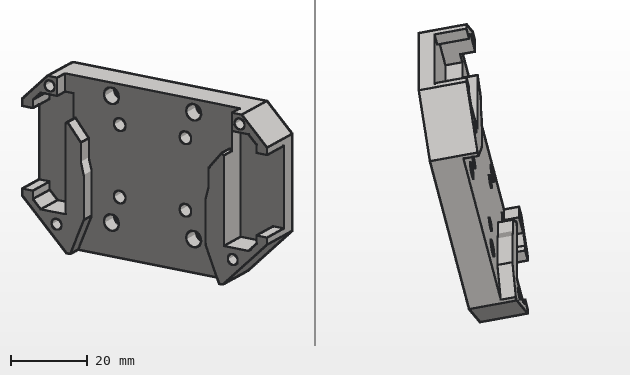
import cadquery as cq

WIDTH = 74.51
DEPTH = 12.74
HEIGHT = 48.0
HALF_WIDTH = WIDTH / 2
HALF_HEIGHT = HEIGHT / 2
FRONT_Y = -DEPTH / 2

TOP_CUT = 7.7
BOTTOM_CUT = 13.5

PATTERN_Z = 2.85

RECESS_DEPTH = 4.0
TOP_PAD_X = 26.6

GUIDE_TIP_X = 23.5
GUIDE_TIP_Z = 12.35
GUIDE_UPPER_X = 19.4
GUIDE_UPPER_TOP_Z = 7.4
GUIDE_UPPER_BOTTOM_Z = 2.0
GUIDE_LOWER_X = 18.5
GUIDE_LOWER_TOP_Z = -1.5
GUIDE_LOWER_BOTTOM_Z = -13.8
GUIDE_FOOT_X = 22.65

POCKET_DEPTH = 8.5
POCKET_INNER_X = 24.1
POCKET_LIP_X = 34.0
POCKET_HALF_HEIGHT = 16.1
POCKET_OPENING_HALF_HEIGHT = 11.4
POCKET_CHAMFER = 2.4

CORNER_HOLE_DIAMETER = 3.0
TOP_CORNER_HOLE = (28.9, 21.3)
BOTTOM_CORNER_HOLE = (26.8, -16.5)

MOUNT_HOLE_DIAMETER = 3.5
MOUNT_HOLE_SPACING = 20.0

BLIND_HOLE_DIAMETER = 4.5
BLIND_HOLE_DEPTH = 5.0
BLIND_HOLE_SPACING_X = 25.0
BLIND_HOLE_SPACING_Z = 35.0


def prism(points, depth):
    """Extrude an XZ outline from the front face back to the given depth."""
    front = cq.Workplane("XZ", origin=(0, FRONT_Y, 0))
    return front.polyline(points).close().extrude(-depth)


def mirrored(points):
    """Return the outline points reflected to the other side, in reverse order."""
    return [(-x, z) for x, z in reversed(points)]


def drill(centres, diameter, start_depth, length):
    """Return cylinders along Y that start at a depth below the front face."""
    plane = cq.Workplane("XZ", origin=(0, FRONT_Y + start_depth, 0))
    return plane.pushPoints(centres).circle(diameter / 2).extrude(-length)


def pattern(spacing_x, spacing_z):
    """Return four centres of a rectangular pattern about the pattern centre line."""
    return [
        (side * spacing_x / 2, PATTERN_Z + level * spacing_z / 2)
        for side in (-1, 1)
        for level in (-1, 1)
    ]


def make_plate():
    right_half = [
        (HALF_WIDTH - BOTTOM_CUT, -HALF_HEIGHT),
        (HALF_WIDTH, -HALF_HEIGHT + BOTTOM_CUT),
        (HALF_WIDTH, HALF_HEIGHT - TOP_CUT),
        (HALF_WIDTH - TOP_CUT, HALF_HEIGHT),
    ]
    return prism(right_half + mirrored(right_half), DEPTH)


def make_recess():
    pocket_top_z = PATTERN_Z + POCKET_HALF_HEIGHT
    tip_run = POCKET_INNER_X - GUIDE_TIP_X
    right_half = [
        (GUIDE_FOOT_X, -HALF_HEIGHT),
        (GUIDE_LOWER_X, GUIDE_LOWER_BOTTOM_Z),
        (GUIDE_LOWER_X, GUIDE_LOWER_TOP_Z),
        (GUIDE_UPPER_X, GUIDE_UPPER_BOTTOM_Z),
        (GUIDE_UPPER_X, GUIDE_UPPER_TOP_Z),
        (GUIDE_TIP_X, GUIDE_TIP_Z),
        (POCKET_INNER_X, GUIDE_TIP_Z - tip_run),
        (POCKET_INNER_X, pocket_top_z),
        (TOP_PAD_X, pocket_top_z),
        (TOP_PAD_X, HALF_HEIGHT),
    ]
    return prism(right_half + mirrored(right_half), RECESS_DEPTH)


def make_pockets():
    lower_half = [
        (HALF_WIDTH, -POCKET_OPENING_HALF_HEIGHT),
        (POCKET_LIP_X, -POCKET_OPENING_HALF_HEIGHT),
        (POCKET_LIP_X, -POCKET_HALF_HEIGHT + POCKET_CHAMFER),
        (POCKET_LIP_X - POCKET_CHAMFER, -POCKET_HALF_HEIGHT),
        (POCKET_INNER_X, -POCKET_HALF_HEIGHT),
    ]
    upper_half = [(x, -z) for x, z in reversed(lower_half)]
    outline = [(x, PATTERN_Z + z) for x, z in lower_half + upper_half]
    right_pocket = prism(outline, POCKET_DEPTH)
    return right_pocket.union(right_pocket.mirror("YZ"))


def make_through_holes():
    corner_centres = [
        (side * x, z)
        for side in (-1, 1)
        for x, z in (TOP_CORNER_HOLE, BOTTOM_CORNER_HOLE)
    ]
    mount_centres = pattern(MOUNT_HOLE_SPACING, MOUNT_HOLE_SPACING)
    corner_holes = drill(corner_centres, CORNER_HOLE_DIAMETER, 0, DEPTH)
    mount_holes = drill(mount_centres, MOUNT_HOLE_DIAMETER, 0, DEPTH)
    return corner_holes.union(mount_holes)


def make_blind_holes():
    centres = pattern(BLIND_HOLE_SPACING_X, BLIND_HOLE_SPACING_Z)
    return drill(centres, BLIND_HOLE_DIAMETER, RECESS_DEPTH, BLIND_HOLE_DEPTH)


result = (
    make_plate()
    .cut(make_recess())
    .cut(make_pockets())
    .cut(make_through_holes())
    .cut(make_blind_holes())
)